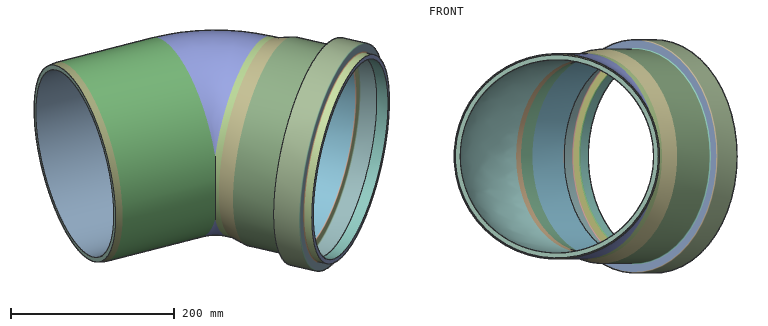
import cadquery as cq
import math

bend_angle = 45
bend_radius = 116.2

pipe_radius = 251 / 2
bore_radius = 236.0 / 2
spigot_length = 136.5
tip_length = 9.0
tip_taper = 1.5

socket_radius = 262.0 / 2
collar_radius = 285.5 / 2
socket_bore_radius = 251 / 2
groove_radius = 274.5 / 2

cone_start = 8.5
outer_cone_end = 29.0
inner_cone_end = 35.5
collar_start = 86.3
collar_end = 121.5
collar_face_wall = 4.5
groove_start = collar_start + collar_face_wall
groove_end = collar_end - collar_face_wall
socket_length = 132.0
step_fillet = 1.2


def revolve_profile(points):
    """Solid of revolution about Y from (radius, station) points, closed along the axis."""
    start, end = points[0][1], points[-1][1]
    outline = [(0, start)] + points + [(0, end)]
    return cq.Workplane("XY").polyline(outline).close().revolve(360, (0, 0), (0, 1))


def round_steps(solid, stations):
    """Fillet both circular edges of each radial step at the given stations along Y."""
    tolerance = 0.05
    for station in stations:
        step_edges = solid.edges("%CIRCLE").filter(
            lambda edge: abs(edge.Center().y - station) < tolerance
        )
        solid = step_edges.fillet(step_fillet)
    return solid


def bend_solid(radius):
    """Sweep a disc round the bend, cut off at the pivot because it reaches past it."""
    chord_half = math.sqrt(radius**2 - bend_radius**2)
    section = (
        cq.Workplane("XZ")
        .moveTo(bend_radius, chord_half)
        .threePointArc((-radius, 0), (bend_radius, -chord_half))
        .close()
    )
    return section.revolve(bend_angle, (bend_radius, 4), (bend_radius, 0))


def place_at_bend_end(solid):
    """Move a solid built along Y from the origin onto the outlet end of the bend."""
    pivot = (bend_radius, 0, 0)
    return solid.rotate(pivot, (bend_radius, 0, 1), -bend_angle)


spigot_outside = revolve_profile([
    (pipe_radius - tip_taper, -spigot_length),
    (pipe_radius, tip_length - spigot_length),
    (pipe_radius, 0),
])
spigot_bore = revolve_profile([(bore_radius, -spigot_length), (bore_radius, 0)])

socket_outside = revolve_profile([
    (pipe_radius, 0),
    (pipe_radius, cone_start),
    (socket_radius, outer_cone_end),
    (socket_radius, collar_start),
    (collar_radius, collar_start),
    (collar_radius, collar_end),
    (socket_radius, collar_end),
    (socket_radius, socket_length),
])
socket_bore = revolve_profile([
    (bore_radius, 0),
    (bore_radius, cone_start),
    (socket_bore_radius, inner_cone_end),
    (socket_bore_radius, groove_start),
    (groove_radius, groove_start),
    (groove_radius, groove_end),
    (socket_bore_radius, groove_end),
    (socket_bore_radius, socket_length),
])

socket_outside = round_steps(socket_outside, [collar_start, collar_end])
socket_bore = round_steps(socket_bore, [groove_start, groove_end])

outside = spigot_outside.union(bend_solid(pipe_radius)).union(place_at_bend_end(socket_outside))
inside = spigot_bore.union(bend_solid(bore_radius)).union(place_at_bend_end(socket_bore))
result = outside.cut(inside)